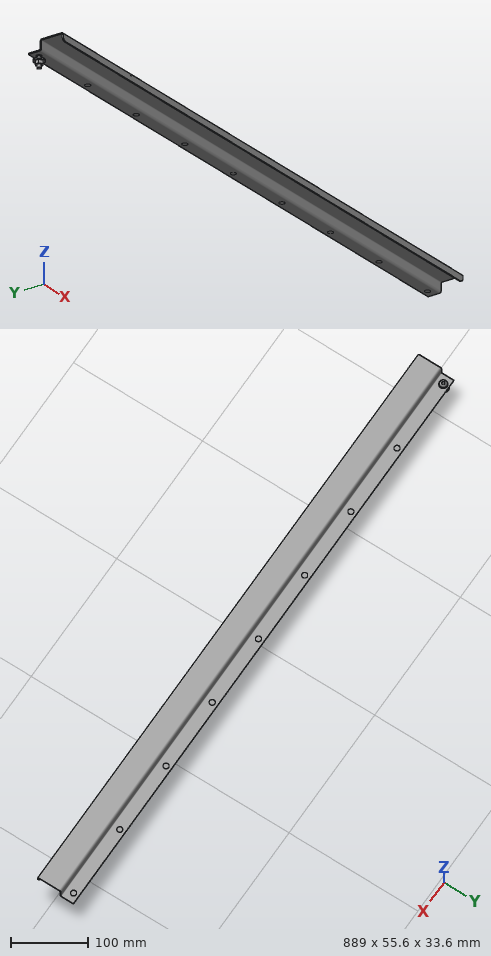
import cadquery as cq
import math

length = 889.0
overall_width = 55.58
overall_height = 33.58

sheet = 2.0
inner_bend = 1.0
outer_bend = inner_bend + sheet
flange_width = 18.8
flange_bottom = -16.85
flange_top = flange_bottom + sheet
web_rear = overall_width - flange_width
web_front = web_rear - sheet
lip_depth = 11.6
lip_corner_radius = 6.0

seat_count = 9
seat_diameter = 8.0
seat_depth = sheet / 2
seat_end_distance = 12.7
seat_pitch = (length - 2 * seat_end_distance) / (seat_count - 1)

shank_diameter = 6.0
head_diameter = 10.5
head_height = 4.0
head_edge_radius = 2.5
socket_size = 4.0
socket_depth = 2.0
top_washer_diameter = 12.0
top_washer_thickness = 1.2
large_washer_diameter = 16.2
large_washer_thickness = 2.0
nut_size = 10.0
nut_height = 5.0
tip_length = 5.0

fastener_y = overall_width - large_washer_diameter / 2
shank_bottom = -overall_height
nut_bottom = shank_bottom + tip_length
large_washer_bottom = nut_bottom + nut_height
head_bottom = flange_top + top_washer_thickness
head_top = head_bottom + head_height


def hexagon_corners(across_flats):
    """Across-corners size of a hexagon."""
    return across_flats / math.cos(math.pi / 6)


def fastener_plane(z):
    """Horizontal workplane at height z, centred on the fastener axis."""
    return cq.Workplane("XY", origin=(seat_end_distance, fastener_y, z))


def bracket_profile():
    """Closed sheet outline in the YZ plane."""
    return (
        cq.Workplane("YZ")
        .moveTo(0, -lip_depth)
        .lineTo(0, -outer_bend)
        .radiusArc((outer_bend, 0), outer_bend)
        .lineTo(web_rear - outer_bend, 0)
        .radiusArc((web_rear, -outer_bend), outer_bend)
        .lineTo(web_rear, flange_top + inner_bend)
        .radiusArc((web_rear + inner_bend, flange_top), -inner_bend)
        .lineTo(overall_width, flange_top)
        .lineTo(overall_width, flange_bottom)
        .lineTo(web_rear + inner_bend, flange_bottom)
        .radiusArc((web_front, flange_bottom + outer_bend), outer_bend)
        .lineTo(web_front, -outer_bend)
        .radiusArc((web_front - inner_bend, -sheet), -inner_bend)
        .lineTo(outer_bend, -sheet)
        .radiusArc((sheet, -outer_bend), -inner_bend)
        .lineTo(sheet, -lip_depth)
        .close()
    )


def round_lip_corners(body):
    """Round the two lower corners of the front lip."""
    margin = 1.0
    lip_edge = cq.selectors.BoxSelector(
        (-margin, -margin, -lip_depth - margin),
        (length + margin, sheet + margin, -lip_depth + margin),
    )
    return body.edges("|Y").edges(lip_edge).fillet(lip_corner_radius)


def make_bracket():
    body = round_lip_corners(bracket_profile().extrude(length))
    centres = [(seat_end_distance + i * seat_pitch, fastener_y) for i in range(seat_count)]
    seats = (
        cq.Workplane("XY", origin=(0, 0, flange_top))
        .pushPoints(centres)
        .circle(seat_diameter / 2)
        .extrude(-seat_depth)
    )
    shank_hole = fastener_plane(flange_bottom).circle(shank_diameter / 2).extrude(sheet)
    return body.cut(seats).cut(shank_hole)


def make_screw():
    shank = fastener_plane(shank_bottom).circle(shank_diameter / 2).extrude(head_bottom - shank_bottom)
    head = (
        fastener_plane(head_bottom)
        .circle(head_diameter / 2)
        .extrude(head_height)
        .faces(">Z")
        .edges()
        .fillet(head_edge_radius)
    )
    socket = fastener_plane(head_top).polygon(6, hexagon_corners(socket_size)).extrude(-socket_depth)
    return shank.union(head).cut(socket)


def make_washer(bottom, diameter, thickness):
    return fastener_plane(bottom).circle(diameter / 2).circle(shank_diameter / 2).extrude(thickness)


def make_nut():
    """Hexagon nut with two flats facing along X."""
    return (
        fastener_plane(nut_bottom)
        .transformed(rotate=(0, 0, 90))
        .polygon(6, hexagon_corners(nut_size))
        .circle(shank_diameter / 2)
        .extrude(nut_height)
    )


bracket = make_bracket()
screw = make_screw()
top_washer = make_washer(flange_top, top_washer_diameter, top_washer_thickness)
large_washer = make_washer(large_washer_bottom, large_washer_diameter, large_washer_thickness)
nut = make_nut()

bodies = [bracket, screw, top_washer, large_washer, nut]
result = cq.Compound.makeCompound([body.solids().val() for body in bodies])